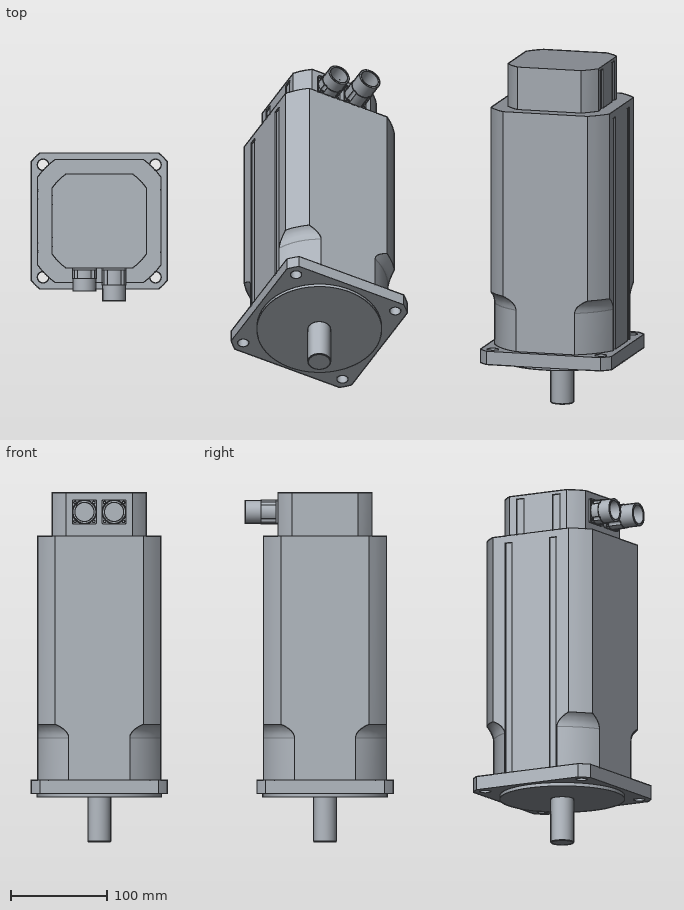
import cadquery as cq
import math

total_height = 363.0
flange_size = 142.0
flange_corner_radius = 94.0
pilot_diameter = 130.0
body_size = 128.0
body_corner_radius = 78.8
waist_radius = 71.5
cap_size = 98.0
cap_corner_radius = 60.0
shaft_diameter = 24.0
shaft_chamfer = 0.7

shaft_length = 46.5
pilot_height = 3.5
flange_thickness = 14.0
waist_height = 44.0
cove_radius = 17.0
cap_height = 45.0

bolt_hole_diameter = 11.5
bolt_pitch = 117.0

groove_depth = 1.5
body_groove_width = 8.0
body_groove_offset = 27.0
body_groove_top_gap = 7.5
cap_groove_width = 9.0
cap_groove_offset = 21.8
cap_groove_top_gap = 3.5

connector_spacing = 31.0
connector_drop = 20.0
plate_size = 25.0
plate_thickness = 2.0
plate_corner_radius = 1.5
neck_diameter = 25.0
shell_diameter = 24.0
bore_diameter = 20.0
screw_hole_diameter = 2.7
screw_pitch = 19.5
screw_relief_radius = 2.75
overall_depth = 154.0
long_neck_length = 15.2
short_neck_length = 8.7
short_shell_length = 13.0

flange_bottom = shaft_length + pilot_height
flange_top = flange_bottom + flange_thickness
cove_bottom = flange_top + waist_height
body_top = total_height - cap_height
cap_front = cap_size / 2
long_connector_length = overall_depth - flange_size / 2 - cap_front
long_shell_length = long_connector_length - plate_thickness - long_neck_length


def rounded_block(size, corner_radius, bottom, top):
    """Square block whose corners are trimmed by a cylinder about the Z axis."""
    height = top - bottom
    block = cq.Workplane("XY", origin=(0, 0, bottom)).rect(size, size).extrude(height)
    trim = cq.Workplane("XY", origin=(0, 0, bottom)).circle(corner_radius).extrude(height)
    return block.intersect(trim)


def cylinder(diameter, bottom, top):
    return cq.Workplane("XY", origin=(0, 0, bottom)).circle(diameter / 2).extrude(top - bottom)


def make_flange():
    flange = rounded_block(flange_size, flange_corner_radius, flange_bottom, flange_top)
    bolt_holes = (
        cq.Workplane("XY", origin=(0, 0, flange_bottom))
        .rect(bolt_pitch, bolt_pitch, forConstruction=True)
        .vertices()
        .circle(bolt_hole_diameter / 2)
        .extrude(flange_thickness)
    )
    return flange.cut(bolt_holes)


def make_body():
    """Square column whose lower corners are turned down, with a cove above them."""
    cove_depth = body_corner_radius - waist_radius
    cove_center_radius = waist_radius + cove_radius
    cove_height = math.sqrt(cove_radius**2 - (cove_radius - cove_depth) ** 2)
    half_angle = math.asin(cove_height / cove_radius) / 2
    arc_middle = (
        cove_center_radius - cove_radius * math.cos(half_angle),
        cove_bottom + cove_radius * math.sin(half_angle),
    )
    envelope = (
        cq.Workplane("XZ")
        .moveTo(0, flange_top)
        .lineTo(waist_radius, flange_top)
        .lineTo(waist_radius, cove_bottom)
        .threePointArc(arc_middle, (body_corner_radius, cove_bottom + cove_height))
        .lineTo(body_corner_radius, body_top)
        .lineTo(0, body_top)
        .close()
        .revolve(360, (0, 0, 0), (0, 1, 0))
    )
    column = (
        cq.Workplane("XY", origin=(0, 0, flange_top))
        .rect(body_size, body_size)
        .extrude(body_top - flange_top)
    )
    return column.intersect(envelope)


def side_grooves(face_distance, width, offset, bottom, top):
    """Pair of shallow vertical grooves in the -X side."""
    return (
        cq.Workplane("XY", origin=(-face_distance + groove_depth / 2, 0, bottom))
        .pushPoints([(0, -offset), (0, offset)])
        .rect(groove_depth, width)
        .extrude(top - bottom)
    )


def make_motor():
    shaft = cylinder(shaft_diameter, 0, shaft_length).faces("<Z").chamfer(shaft_chamfer)
    pilot = cylinder(pilot_diameter, shaft_length, flange_bottom)
    cap = rounded_block(cap_size, cap_corner_radius, body_top, total_height)
    body = make_body().cut(
        side_grooves(
            body_size / 2, body_groove_width, body_groove_offset,
            flange_top, body_top - body_groove_top_gap,
        )
    )
    cap = cap.cut(
        side_grooves(
            cap_size / 2, cap_groove_width, cap_groove_offset,
            body_top, total_height - cap_groove_top_gap,
        )
    )
    return shaft.union(pilot).union(make_flange()).union(body).union(cap)


def make_connector(x, neck_length, shell_length):
    """Square-plate round connector pointing to -Y, seated on the front of the cap."""

    def plane_at(distance):
        return cq.Workplane("XZ", origin=(x, -cap_front - distance, total_height - connector_drop))

    def corner_cylinders(workplane, radius, length):
        return (
            workplane.rect(screw_pitch, screw_pitch, forConstruction=True)
            .vertices()
            .circle(radius)
            .extrude(length)
        )

    neck_end = plate_thickness + neck_length
    plate = (
        plane_at(0)
        .rect(plate_size, plate_size)
        .extrude(plate_thickness)
        .edges("|Y")
        .fillet(plate_corner_radius)
    )
    screw_holes = corner_cylinders(plane_at(0), screw_hole_diameter / 2, plate_thickness)
    neck = plane_at(plate_thickness).circle(neck_diameter / 2).extrude(neck_length)
    screw_reliefs = corner_cylinders(plane_at(plate_thickness), screw_relief_radius, neck_length)
    shell = plane_at(neck_end).circle(shell_diameter / 2).extrude(shell_length)
    bore = plane_at(plate_thickness).circle(bore_diameter / 2).extrude(neck_length + shell_length)
    return plate.cut(screw_holes).union(neck.cut(screw_reliefs)).union(shell).cut(bore)


motor = make_motor()
connectors = [
    make_connector(x, neck_length, shell_length)
    for x, neck_length, shell_length in (
        (-connector_spacing / 2, short_neck_length, short_shell_length),
        (connector_spacing / 2, long_neck_length, long_shell_length),
    )
]

result = cq.Compound.makeCompound([motor.val(), *(connector.val() for connector in connectors)])